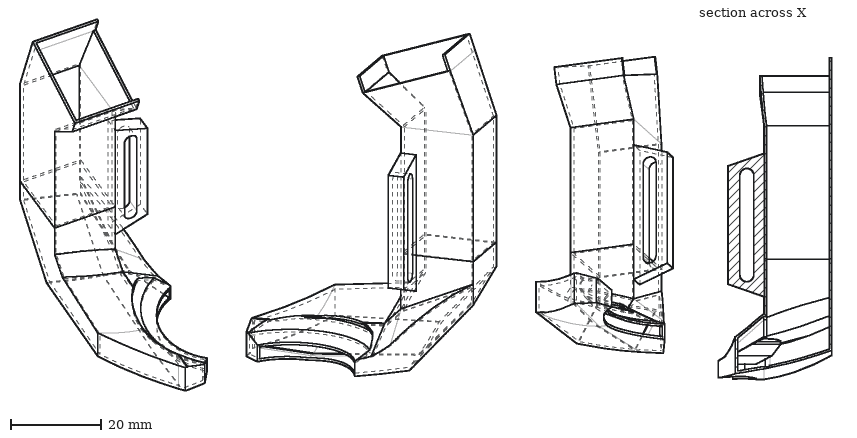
import cadquery as cq

WALL = 0.6
TUBE_WIDTH = 17.1
TUBE_DEPTH = 15.05
SPLIT_Z = 26.7
BEND_Z = 56.2

HEAD_DEPTH = 16.0
RIM_TOP_LEFT = (6.3, 74.5)
RIM_TOP_RIGHT = (27.0, 67.05)
RIM_DROP = (-1.3, -3.65)

BEAK_FRONT_X = 38.15
BEAK_SIDE = [(51.2, 13.35), (52.3, 14.6), (51.8, 19.7), (48.05, 22.2)]
BEAK_BACK = (24.3, 25.25)
MOUTH_CENTER = (37.25, 31.1)
MOUTH_RADIUS = 14.3
LIP_RADIUS = 17.8
LIP_OUTER_RADIUS = 19.75
LIP_HEIGHTS = (4.0, 5.9, 8.4)
BEAK_DEPTH = BEAK_BACK[1]

ELBOW_TOP_X = 20.9
ELBOW_BOTTOM_X = 13.05
PROFILE_END_X = 55.9
MIDDLE_Y = 5.95
ROOT_BOTTOM = [(0, 16.55), (ELBOW_BOTTOM_X, 2.5), (BEAK_FRONT_X, 0), (PROFILE_END_X, 0.6)]

LUG_X = 13.5
LUG_THICKNESS = 3.65
LUG_TIP_Y = 23.0
LUG_CENTER_Z = 34.2
LUG_ROOT_LENGTH = 31.75
LUG_TIP_LENGTH = 26.2
SLOT_CENTER_Y = 18.85
SLOT_WIDTH = 3.05
SLOT_LENGTH = 25.0


def shifted(point, offset):
    return (point[0] + offset[0], point[1] + offset[1])


def ruled_loft(sections):
    """Ruled solid through closed polygons of 3D points."""
    wires = [cq.Wire.makePolygon([cq.Vector(*p) for p in points], close=True) for points in sections]
    return cq.Workplane(obj=cq.Solid.makeLoft(wires, True))


def cross_section(left, right, depth, wall):
    """Four-sided duct section between two XZ points, moved inward by the wall."""
    run = cq.Vector(right[0] - left[0], 0, right[1] - left[1])
    inset = run.normalized() * wall
    x0, z0 = left[0] + inset.x, left[1] + inset.z
    x1, z1 = right[0] - inset.x, right[1] - inset.z
    return [(x0, wall, z0), (x1, wall, z1), (x1, depth - wall, z1), (x0, depth - wall, z0)]


def upper_form(wall):
    """Straight tube, spreading head and straight rim, moved inward by the wall."""
    base_left = shifted(RIM_TOP_LEFT, RIM_DROP)
    base_right = shifted(RIM_TOP_RIGHT, RIM_DROP)
    tube_bottom = cross_section((0, SPLIT_Z), (TUBE_WIDTH, SPLIT_Z), TUBE_DEPTH, wall)
    bend = cross_section((0, BEND_Z), (TUBE_WIDTH, BEND_Z), TUBE_DEPTH, wall)
    rim_base = cross_section(base_left, base_right, HEAD_DEPTH, wall)
    rim_top = cross_section(RIM_TOP_LEFT, RIM_TOP_RIGHT, HEAD_DEPTH, wall)
    tube = ruled_loft([tube_bottom, bend])
    head = ruled_loft([bend, rim_base])
    rim = ruled_loft([rim_base, rim_top])
    return tube.union(head).union(rim)


def rim_opening():
    """Gap in the back of the rim, between its two side walls."""
    base = cross_section(shifted(RIM_TOP_LEFT, RIM_DROP), shifted(RIM_TOP_RIGHT, RIM_DROP), HEAD_DEPTH, WALL)
    top = cross_section(RIM_TOP_LEFT, RIM_TOP_RIGHT, HEAD_DEPTH, WALL)
    to_back = 2 * WALL
    gap = [[(x, y + (to_back if y > HEAD_DEPTH / 2 else 0), z) for x, y, z in loop] for loop in (base, top)]
    return ruled_loft(gap)


def make_upper_duct():
    return upper_form(0).cut(upper_form(WALL)).cut(rim_opening())


def profile(y, top, bottom, wall):
    """Closed XZ profile at depth y, moved inward by the wall."""
    wire = cq.Workplane("XZ", origin=(0, y, 0)).polyline(top + bottom[::-1]).close()
    if wall:
        wire = wire.offset2D(-wall, "intersection")
    return wire.val()


def beak_sections(wall):
    """Profiles behind the tube, where the top falls away toward the back."""
    root_top = [(0, 21.45), (TUBE_WIDTH, 13.8), (ELBOW_TOP_X, 10.05), (PROFILE_END_X, 7.45)]
    back_top = [(0, 20.1), (TUBE_WIDTH, 4.85), (ELBOW_TOP_X, 4.2), (PROFILE_END_X, 3.9)]
    back_bottom = [(0, 14.15), (ELBOW_BOTTOM_X, 0.7), (BEAK_FRONT_X, 0), (PROFILE_END_X, 0)]
    root = profile(TUBE_DEPTH, root_top, ROOT_BOTTOM, wall)
    back = profile(BEAK_DEPTH, back_top, back_bottom, wall)
    return root, back


def elbow_loft(wall):
    """Elbow below the tube, whose floor and beak fall from front to back."""
    top_z = SPLIT_Z + 2 * wall
    tube_top = [(0, top_z), (TUBE_WIDTH, top_z)]
    front_top = tube_top + [(TUBE_WIDTH, 18.55), (ELBOW_TOP_X, 14.9), (BEAK_FRONT_X, 12.5), (PROFILE_END_X, 12.4)]
    middle_top = tube_top + [(TUBE_WIDTH, 16.9), (ELBOW_TOP_X, 12.7), (BEAK_FRONT_X, 10.1), (PROFILE_END_X, 9.7)]
    root_top = tube_top + [(TUBE_WIDTH, 13.8), (ELBOW_TOP_X, 10.05), (BEAK_FRONT_X, 8.2), (PROFILE_END_X, 7.45)]
    front_bottom = [(0, 21.0), (ELBOW_BOTTOM_X, 6.55), (BEAK_FRONT_X, 5.4), (PROFILE_END_X, 5.2)]
    middle_bottom = [(0, 19.2), (ELBOW_BOTTOM_X, 4.7), (BEAK_FRONT_X, 2.45), (PROFILE_END_X, 3.0)]
    wires = [
        profile(0, front_top, front_bottom, wall),
        profile(MIDDLE_Y, middle_top, middle_bottom, wall),
        profile(TUBE_DEPTH, root_top, ROOT_BOTTOM, wall),
    ]
    return cq.Workplane(obj=cq.Solid.makeLoft(wires, False))


def nozzle_plan(wall):
    """Prism of the plan outline, moved inward by the wall and still without the mouth."""
    outline = [(0, 0), (BEAK_FRONT_X, 0)] + BEAK_SIDE + [MOUTH_CENTER, BEAK_BACK, (0, TUBE_DEPTH)]
    plan = cq.Workplane("XY").polyline(outline).close()
    if wall:
        plan = plan.offset2D(-wall, "intersection")
    return plan.extrude(SPLIT_Z + 2 * wall)


def lip_cutter(drop):
    """Space above the conical lip around the mouth, lowered by drop."""
    mouth_z, lip_z, outer_z = LIP_HEIGHTS
    half_section = [
        (0, mouth_z - drop),
        (MOUTH_RADIUS, mouth_z - drop),
        (LIP_RADIUS, lip_z - drop),
        (LIP_OUTER_RADIUS, outer_z - drop),
        (LIP_OUTER_RADIUS, SPLIT_Z),
        (0, SPLIT_Z),
    ]
    section = cq.Workplane("XZ", origin=(*MOUTH_CENTER, 0)).polyline(half_section).close()
    return section.revolve(360, (0, 0, 0), (0, 1, 0))


def nozzle_cavity():
    root, back = beak_sections(WALL)
    beak = cq.Workplane(obj=cq.Solid.makeLoft([root, back], True))
    passage_face = cq.Face.makeFromWires(root)
    passage = cq.Workplane(obj=cq.Solid.extrudeLinear(passage_face, cq.Vector(0, -2 * WALL, 0)))
    front_part = cq.Workplane("XY").box(PROFILE_END_X, TUBE_DEPTH - WALL, 2 * SPLIT_Z, centered=False)
    cavity = elbow_loft(WALL).intersect(front_part).union(passage).union(beak)
    return cavity.intersect(nozzle_plan(WALL)).cut(lip_cutter(WALL))


def make_nozzle():
    beak = cq.Workplane(obj=cq.Solid.makeLoft(list(beak_sections(0)), True))
    outside = elbow_loft(0).union(beak).intersect(nozzle_plan(0))
    mouth = cq.Workplane("XY").center(*MOUTH_CENTER).circle(MOUTH_RADIUS).extrude(SPLIT_Z)
    return outside.cut(lip_cutter(0)).cut(nozzle_cavity()).cut(mouth)


def make_lug():
    root = LUG_ROOT_LENGTH / 2
    tip = LUG_TIP_LENGTH / 2
    outline = [(TUBE_DEPTH, -root), (LUG_TIP_Y, -tip), (LUG_TIP_Y, tip), (TUBE_DEPTH, root)]
    side = cq.Workplane("YZ", origin=(LUG_X, 0, LUG_CENTER_Z))
    slot = side.center(SLOT_CENTER_Y, 0).slot2D(SLOT_LENGTH, SLOT_WIDTH, 90).extrude(LUG_THICKNESS)
    return side.polyline(outline).close().extrude(LUG_THICKNESS).cut(slot)


upper_duct = make_upper_duct()
nozzle = make_nozzle()
lug = make_lug()

result = cq.Compound.makeCompound([*upper_duct.vals(), *nozzle.vals(), *lug.vals()])